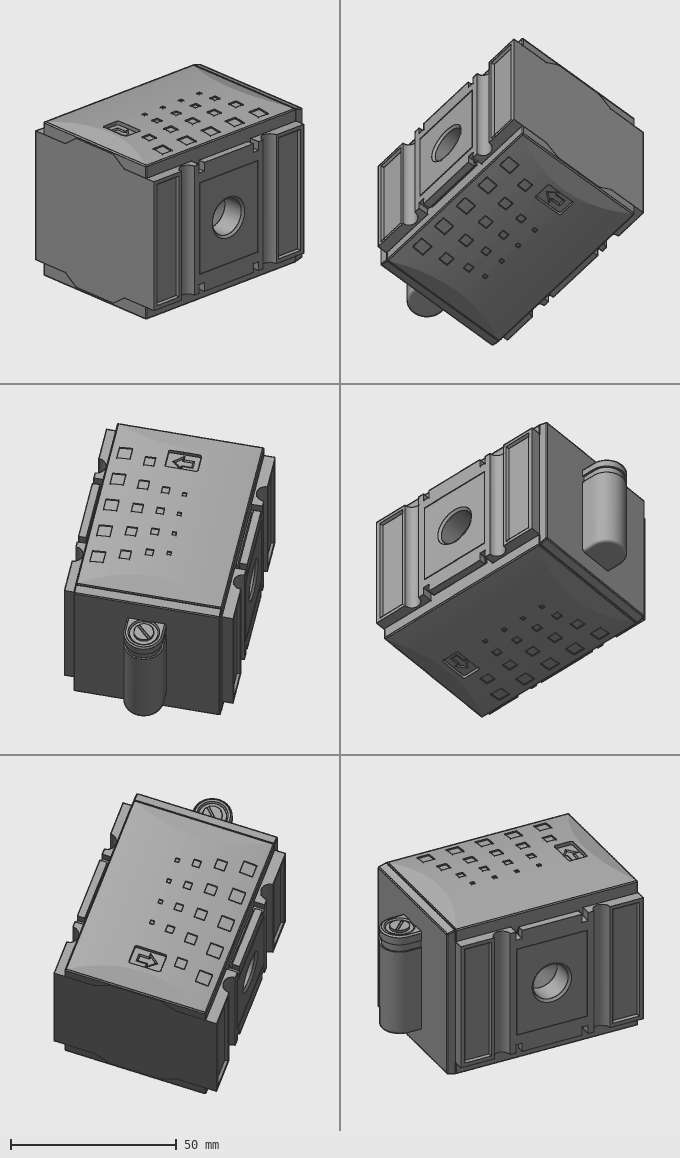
import cadquery as cq
import math

body_width = 52.0
body_length = 62.2
body_height = 42.6
cover_width = 45.15
overall_height = 54.2
cover_edge_z = 25.4
end_slope = 15
cover_chamfer = 0.3

ridge_base_width = 26.0
ridge_top_width = 16.3
ridge_top_z = 24.6

flute_radius = 2.7
flute_offset = 17.0

pocket_offset = 25.2
pocket_length = 9.05
pocket_height = 40.0
pocket_depth = 0.9
pocket_wall_run = 0.4

clip_inner_half = 10.2
clip_outer_half = 12.3
clip_depth = 2.9
clip_strip = 2.35
clip_leg = 1.5
clip_hook_ledge = 0.45
clip_hook_depth = 1.5

label_length = 24.0
label_height = 30.2
label_depth = 0.15
port_radius = 6.0
port_mouth_radius = 6.7
port_depth = 7.9
drill_point_angle = 118

square_depth = 0.45
square_columns = [
    (-2.95, 15.0, 7.55, 1.2, 4),
    (2.95, 15.9, 8.0, 2.3, 4),
    (10.0, 18.05, 9.0, 3.2, 5),
    (18.05, 19.9, 10.0, 4.1, 5),
]
arrow_y = -19.9
arrow_recess_length = 10.1
arrow_recess_width = 6.3
arrow_recess_corner = 0.6
arrow_recess_depth = 1.3
arrow_length = 6.5
arrow_shaft_width = 2.6
arrow_head_width = 5.3
arrow_depth = 0.3
arrow_wall_run = 0.45

cap_thickness = 2.9
overall_length = 75.5
pilot_radius = 6.05
pilot_top = 16.8
pilot_bottom = -17.8
pilot_chamfer = 0.5
pilot_fillet = 1.0
pilot_groove_top = 13.8
pilot_groove_bottom = 11.25
pilot_groove_depth = 0.5
sink_radius = 4.75
sink_depth = 0.45
screw_radius = 3.0
screw_rise = 0.3
screw_length = 3.0
screw_slot_width = 0.7
screw_slot_depth = 0.2

half_width = body_width / 2
half_length = body_length / 2
half_height = body_height / 2
half_cover = cover_width / 2
crown_top = overall_height / 2
crown_rise = crown_top - cover_edge_z
crown_radius = (half_cover**2 + crown_rise**2) / (2 * crown_rise)
slope_ratio = math.tan(math.radians(end_slope))
clip_floor = half_height - clip_depth
clip_strip_back = -half_width + clip_strip
clip_leg_back = -half_cover + clip_leg
cap_rear = half_length + cap_thickness
pilot_y = overall_length - half_length - pilot_radius


def box(x_range, y_range, z_range):
    """Box between the given limits."""
    size = [limits[1] - limits[0] for limits in (x_range, y_range, z_range)]
    corner = (x_range[0], y_range[0], z_range[0])
    return cq.Workplane("XY").box(*size, centered=False).translate(corner)


def body_blank():
    """Block with a trapezoidal ridge along its top and bottom."""
    quarter = [
        (half_width, half_height),
        (ridge_base_width / 2, half_height),
        (ridge_top_width / 2, ridge_top_z),
    ]
    top = quarter + [(-x, z) for x, z in reversed(quarter)]
    bottom = [(-x, -z) for x, z in top]
    outline = cq.Workplane("XZ").polyline(top + bottom).close()
    return outline.extrude(half_length, both=True)


def flutes():
    """Two vertical half-round flutes in the -X side."""
    centres = [(-half_width, -flute_offset), (-half_width, flute_offset)]
    return cq.Workplane("XY").pushPoints(centres).circle(flute_radius).extrude(half_height, both=True)


def side_pockets():
    """Two shallow pockets with sloping walls in the -X side."""
    taper = math.degrees(math.atan(pocket_wall_run / pocket_depth))
    plane = cq.Workplane("YZ", origin=(-half_width, 0, 0))
    centres = [(-pocket_offset, 0), (pocket_offset, 0)]
    return plane.pushPoints(centres).rect(pocket_length, pocket_height).extrude(pocket_depth, taper=taper)


def clip_cut():
    """Opening for a cover leg in the -X side, behind a strip that leaves a notch at each end."""
    z_range = (clip_floor, half_height)
    opening = box((-half_width, clip_leg_back), (-clip_outer_half, clip_outer_half), z_range)
    strip = box((-half_width, clip_strip_back), (-clip_inner_half, clip_inner_half), z_range)
    return opening.cut(strip)


def port():
    """Shallow label field and a drilled port with a chamfered mouth in the -X side."""
    floor_x = -half_width + label_depth
    side = cq.Workplane("YZ", origin=(-half_width, 0, 0))
    label = side.rect(label_length, label_height).extrude(label_depth)
    point_length = port_radius / math.tan(math.radians(drill_point_angle / 2))
    mouth_depth = port_mouth_radius - port_radius
    bore_outline = [
        (floor_x, 0),
        (floor_x, port_mouth_radius),
        (floor_x + mouth_depth, port_radius),
        (floor_x + port_depth, port_radius),
        (floor_x + port_depth + point_length, 0),
    ]
    bore = cq.Workplane("XY").polyline(bore_outline).close().revolve(360, (0, 0, 0), (1, 0, 0))
    return label.union(bore)


def make_body():
    body = body_blank()
    clip = clip_cut()
    for cutter in (flutes(), side_pockets(), clip, clip.mirror("XY"), port()):
        body = body.cut(cutter).cut(cutter.mirror("YZ"))
    return body


def cover_envelope():
    """Block that just holds a cover."""
    return box((-half_cover, half_cover), (-half_length, half_length), (half_height, crown_top))


def chamfered_corners():
    """Envelope with chamfered upright corners."""
    return cover_envelope().edges("|Z").chamfer(cover_chamfer)


def chamfered_rim():
    """Envelope whose 45 degree upper chamfer starts just below the cover's straight edges."""
    return cover_envelope().faces(">Z").edges().chamfer(crown_rise + cover_chamfer)


def cover_blank():
    """Crowned plate with a keyway for the ridge and sloping ends."""
    blank = (
        cq.Workplane("XZ")
        .moveTo(-half_cover, half_height)
        .lineTo(-half_cover, cover_edge_z)
        .threePointArc((0, crown_top), (half_cover, cover_edge_z))
        .lineTo(half_cover, half_height)
        .lineTo(ridge_base_width / 2, half_height)
        .lineTo(ridge_top_width / 2, ridge_top_z)
        .lineTo(-ridge_top_width / 2, ridge_top_z)
        .lineTo(-ridge_base_width / 2, half_height)
        .close()
        .extrude(half_length, both=True)
    )
    slope_peak_z = cover_edge_z + half_length * slope_ratio
    roof_outline = [
        (-half_length, half_height),
        (-half_length, cover_edge_z),
        (0, slope_peak_z),
        (half_length, cover_edge_z),
        (half_length, half_height),
    ]
    roof = cq.Workplane("YZ").polyline(roof_outline).close().extrude(half_cover, both=True)
    return blank.intersect(roof).intersect(chamfered_corners()).intersect(chamfered_rim())


def clip_leg_with_hook():
    """Leg on the cover's -X side, with a sloping hook that rests against the body's strip."""
    leg = box((-half_cover, clip_leg_back), (-clip_outer_half, clip_outer_half), (clip_floor, half_height))
    hook_top = half_height - clip_hook_depth
    hook_outline = [
        (-half_cover, clip_floor),
        (clip_strip_back, clip_floor),
        (-half_cover - clip_hook_ledge, hook_top),
        (-half_cover, hook_top),
    ]
    hook = cq.Workplane("XZ").polyline(hook_outline).close().extrude(clip_inner_half, both=True)
    return leg.union(hook)


def crown_below(depth):
    """Cylinder that lies a given depth below the crown surface."""
    axis_z = crown_top - crown_radius
    cylinder = cq.Workplane("XZ", origin=(0, 0, axis_z)).circle(crown_radius - depth)
    return cylinder.extrude(half_length, both=True)


def squares():
    """Columns of square pockets that follow the crown."""
    cutter = cq.Workplane("XY")
    for x, first_y, pitch, side, count in square_columns:
        centres = [(x, first_y - row * pitch) for row in range(count)]
        sketch = cq.Workplane("XY", origin=(0, 0, ridge_top_z)).pushPoints(centres).rect(side, side)
        cutter = cutter.add(sketch.extrude(crown_top - ridge_top_z))
    return cutter.combine().cut(crown_below(square_depth))


def arrow_recess():
    """Flat-floored recess with a sunken, slope-walled flow arrow."""
    floor = cq.Workplane("XY", origin=(0, arrow_y, crown_top - arrow_recess_depth))
    recess = floor.rect(arrow_recess_length, arrow_recess_width).extrude(arrow_recess_depth)
    recess = recess.edges("|Z").fillet(arrow_recess_corner)
    upper_half = [
        (-arrow_length / 2, arrow_shaft_width / 2),
        (0, arrow_shaft_width / 2),
        (0, arrow_head_width / 2),
    ]
    tip = [(arrow_length / 2, 0)]
    lower_half = [(x, -y) for x, y in reversed(upper_half)]
    taper = math.degrees(math.atan(arrow_wall_run / arrow_depth))
    arrow = floor.polyline(upper_half + tip + lower_half).close().extrude(-arrow_depth, taper=taper)
    return recess.union(arrow)


def make_cover(turn):
    """Cover turned about the Y axis: 0 for the top, 180 for the bottom."""
    leg = clip_leg_with_hook()
    cover = cover_blank().union(leg).union(leg.mirror("YZ"))
    cover = cover.cut(squares()).cut(arrow_recess())
    return cover.rotate((0, 0, 0), (0, 1, 0), turn)


def end_cap():
    rear_z = cover_edge_z - cap_thickness * slope_ratio
    outline = [
        (half_length, -cover_edge_z),
        (half_length, cover_edge_z),
        (cap_rear, rear_z),
        (cap_rear, -rear_z),
    ]
    cap = cq.Workplane("YZ").polyline(outline).close().extrude(half_cover, both=True)
    return cap.faces(">Y or <X or >X").edges("not <Y").chamfer(cover_chamfer)


def pilot_section(inset, bottom, top):
    """U-shaped block on the end cap, inset from the full section."""
    radius = pilot_radius - inset
    return (
        cq.Workplane("XY", origin=(0, 0, bottom))
        .moveTo(-radius, cap_rear)
        .lineTo(-radius, pilot_y)
        .threePointArc((0, pilot_y + radius), (radius, pilot_y))
        .lineTo(radius, cap_rear)
        .close()
        .extrude(top - bottom)
    )


def pilot_housing():
    housing = pilot_section(0, pilot_bottom, pilot_top)
    housing = housing.faces(">Z").edges("not <Y").chamfer(pilot_chamfer)
    housing = housing.faces("<Z").edges("not <Y").fillet(pilot_fillet)
    groove = pilot_section(0, pilot_groove_bottom, pilot_groove_top)
    neck = pilot_section(pilot_groove_depth, pilot_groove_bottom, pilot_groove_top)
    return housing.cut(groove.cut(neck))


def screw_blank():
    bottom = pilot_top + screw_rise - screw_length
    return cq.Workplane("XY", origin=(0, pilot_y, bottom)).circle(screw_radius).extrude(screw_length)


def screw_seat():
    """Conical countersink around the screw."""
    floor_radius = sink_radius - sink_depth
    seat = cq.Solid.makeCone(floor_radius, sink_radius, sink_depth)
    return cq.Workplane(seat).translate((0, pilot_y, pilot_top - sink_depth))


def make_pilot():
    housing = pilot_housing().cut(screw_seat()).cut(screw_blank())
    return end_cap().union(housing)


def make_screw():
    slot = (
        cq.Workplane("XY", origin=(0, pilot_y, pilot_top + screw_rise))
        .rect(2 * screw_radius, screw_slot_width)
        .extrude(-screw_slot_depth)
        .rotate((0, pilot_y, 0), (0, pilot_y, 1), -45)
    )
    return screw_blank().cut(slot)


body = make_body()
top_cover = make_cover(0)
bottom_cover = make_cover(180)
pilot = make_pilot()
screw = make_screw()

result = cq.Compound.makeCompound(
    [body.val(), top_cover.val(), bottom_cover.val(), pilot.val(), screw.val()]
)